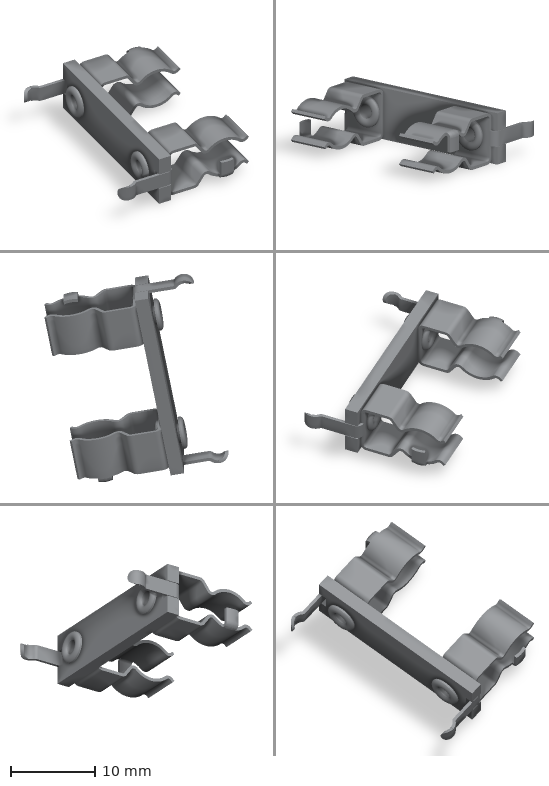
import cadquery as cq
import math


OVERALL_LENGTH = 24.5
HEIGHT = 6.35

PLATE_LENGTH = 23.48
PLATE_THICKNESS = 1.62
NOTCH_DEPTH = 1.08
TAIL_CLEARANCE = 0.07

SHEET = 0.4
CLIP_X = 8.3
CLIP_WIDTH = 5.15
BEND_RADIUS = 0.61

SHOULDER_LENGTH = 2.8
SLOPE_ANGLE = 54.0
SLOPE_LENGTH = 1.2
CRADLE_RADIUS = 3.11
CRADLE_HALF_ANGLE = 42.0
LIP_ANGLE = 40.0
LIP_LENGTH = 0.37

TAB_WIDTH = 1.7
TAB_REACH = 0.1
TAB_BEND_RADIUS = 0.7
TAB_END_GAP = 0.2

TAIL_WIDTH = 1.86
TAIL_STRAIGHT = 3.05
TAIL_KINK_RADIUS = 0.4
TAIL_BULGE_RADIUS = 1.15
TAIL_BULGE_RETURN = 80.0

RIVET_X = 7.95
RIVET_BORE_RADIUS = 0.88
RIVET_SHANK_RADIUS = 1.15
RIVET_HEAD_RADIUS = 1.94
RIVET_HEAD_HEIGHT = 0.56
RIVET_RIM_HEIGHT = 0.25
RIVET_HEAD_GAP = 0.32

PLATE_END_X = PLATE_LENGTH / 2
WEB_MID_Y = SHEET / 2


def bent_strip(plane, start, heading, moves, width):
    """Sheet strip of the given width, centred on the plane, following a bent middle line.

    Each move is ("line", length) or ("arc", radius, turn); a positive turn is anticlockwise.
    """
    def offset(point, angle, distance):
        """Point the given distance to the left of a heading."""
        turned = math.radians(angle + 90)
        return (point[0] + distance * math.cos(turned), point[1] + distance * math.sin(turned))

    point = start
    left, right = SHEET / 2, -SHEET / 2
    outline = cq.Workplane(plane).moveTo(*offset(point, heading, left))
    way_back = []
    for kind, size, *turn in moves:
        way_back.append((kind, offset(point, heading, right)))
        if kind == "line":
            point = offset(point, heading - 90, size)
            outline = outline.lineTo(*offset(point, heading, left))
        else:
            to_centre = math.copysign(size, turn[0])
            centre = offset(point, heading, to_centre)
            mid_heading = heading + turn[0] / 2
            heading += turn[0]
            middle = offset(centre, mid_heading, -to_centre)
            point = offset(centre, heading, -to_centre)
            outline = outline.threePointArc(
                offset(middle, mid_heading, left), offset(point, heading, left)
            )
            way_back[-1] += (offset(middle, mid_heading, right),)
    outline = outline.lineTo(*offset(point, heading, right))
    for kind, end, *middle in reversed(way_back):
        if kind == "line":
            outline = outline.lineTo(*end)
        else:
            outline = outline.threePointArc(middle[0], end)
    return outline.close().extrude(width / 2, both=True)


def make_plate():
    plate = cq.Workplane("XY").box(PLATE_LENGTH, PLATE_THICKNESS, HEIGHT)
    plate = plate.translate((0, -PLATE_THICKNESS / 2, 0))
    notch_width = TAIL_WIDTH + 2 * TAIL_CLEARANCE
    for side in (-1, 1):
        notch = cq.Workplane("XY").box(2 * NOTCH_DEPTH, 2 * PLATE_THICKNESS, notch_width)
        plate = plate.cut(notch.translate((side * PLATE_END_X, -PLATE_THICKNESS / 2, 0)))
        plate = plate.cut(shank_hole(side * RIVET_X))
    return plate


def shank_hole(x):
    """Cutter along Y that reaches through the plate and a clip's web."""
    depth = PLATE_THICKNESS + SHEET
    hole = cq.Workplane("XZ", origin=(x, SHEET, 0)).circle(RIVET_SHANK_RADIUS)
    return hole.extrude(depth)


ARM_TOP_Z = HEIGHT / 2 - SHEET / 2
ARM_MOVES = [
    ("line", ARM_TOP_Z - BEND_RADIUS),
    ("arc", BEND_RADIUS, -90),
    ("line", SHOULDER_LENGTH),
    ("arc", BEND_RADIUS, -SLOPE_ANGLE),
    ("line", SLOPE_LENGTH),
    ("arc", BEND_RADIUS, SLOPE_ANGLE + CRADLE_HALF_ANGLE),
    ("arc", CRADLE_RADIUS, -2 * CRADLE_HALF_ANGLE),
    ("arc", BEND_RADIUS, CRADLE_HALF_ANGLE + LIP_ANGLE),
    ("line", LIP_LENGTH),
]

SLOPE = math.radians(SLOPE_ANGLE)
CRADLE_HALF = math.radians(CRADLE_HALF_ANGLE)
CRADLE_Y = (
    WEB_MID_Y
    + BEND_RADIUS * (1 + 2 * math.sin(SLOPE))
    + SHOULDER_LENGTH
    + SLOPE_LENGTH * math.cos(SLOPE)
    + (BEND_RADIUS + CRADLE_RADIUS) * math.sin(CRADLE_HALF)
)
TROUGH_Z = ARM_TOP_Z - 2 * BEND_RADIUS * (1 - math.cos(SLOPE)) - SLOPE_LENGTH * math.sin(SLOPE)
CRADLE_TOP_Z = (
    TROUGH_Z + (BEND_RADIUS + CRADLE_RADIUS) * (1 - math.cos(CRADLE_HALF)) + SHEET / 2
)


def tab_section(plane):
    """Slice of the cradle's wall, with the top of its outer face at the plane's origin."""
    outer = CRADLE_RADIUS + SHEET / 2
    inner = CRADLE_RADIUS - SHEET / 2
    half = TAB_WIDTH / 2
    outer_edge = math.sqrt(outer**2 - half**2) - outer
    inner_edge = math.sqrt(inner**2 - half**2) - outer
    return (
        cq.Workplane(plane)
        .moveTo(-half, outer_edge)
        .threePointArc((0, 0), (half, outer_edge))
        .lineTo(half, inner_edge)
        .threePointArc((0, -SHEET), (-half, inner_edge))
        .close()
    )


def make_tab():
    """Stop tab at the -X edge of the upper cradle, bent down to hang along Z."""
    edge_x = -CLIP_X - CLIP_WIDTH / 2
    bend_x = edge_x - TAB_REACH
    bend_z = CRADLE_TOP_Z - TAB_BEND_RADIUS

    def section(x, z, normal):
        return tab_section(cq.Plane(origin=(x, CRADLE_Y, z), xDir=(0, 1, 0), normal=normal))

    reach = section(edge_x, CRADLE_TOP_Z, (1, 0, 0)).extrude(-TAB_REACH)
    bend = section(bend_x, CRADLE_TOP_Z, (1, 0, 0)).revolve(
        90, (0.25, -TAB_BEND_RADIUS), (-0.25, -TAB_BEND_RADIUS)
    )
    hang = section(bend_x - TAB_BEND_RADIUS, bend_z, (0, 0, 1)).extrude(TAB_END_GAP - bend_z)
    return reach.union(bend).union(hang)


TAIL_BENDS_RADIUS = TAIL_KINK_RADIUS + TAIL_BULGE_RADIUS
TAIL_KINK = math.acos(1 - (OVERALL_LENGTH / 2 - PLATE_END_X) / TAIL_BENDS_RADIUS)
TAIL_BULGE_Y = -PLATE_THICKNESS - TAIL_STRAIGHT - TAIL_BENDS_RADIUS * math.sin(TAIL_KINK)


def make_tail():
    """Tail from the web's middle: bent forward, bulged outward, its tip trimmed and rounded."""
    tail_mid = PLATE_END_X - SHEET / 2
    kink = math.degrees(TAIL_KINK)
    moves = [
        ("line", tail_mid - BEND_RADIUS - CLIP_X),
        ("arc", BEND_RADIUS, 90),
        ("line", WEB_MID_Y - BEND_RADIUS + PLATE_THICKNESS + TAIL_STRAIGHT),
        ("arc", TAIL_KINK_RADIUS, -kink),
        ("arc", TAIL_BULGE_RADIUS, kink + TAIL_BULGE_RETURN),
    ]
    tail = bent_strip("XY", (-CLIP_X, WEB_MID_Y), 180, moves, TAIL_WIDTH)
    return tail.cut(tail_tip_waste())


def tail_tip_waste():
    """Cutter for what lies past the rounded tip, which ends flush with the tail's inner face."""
    tip_x = SHEET - PLATE_END_X
    half = TAIL_WIDTH / 2
    reach = 2 * TAIL_BULGE_RADIUS
    return (
        cq.Workplane("XZ", origin=(tip_x, TAIL_BULGE_Y, 0))
        .moveTo(-half, half)
        .threePointArc((0, 0), (-half, -half))
        .lineTo(reach, -half)
        .lineTo(reach, half)
        .close()
        .extrude(reach)
    )


def make_clip():
    """Left-hand clip; its stop tab is on the upper arm."""
    start = (WEB_MID_Y, 0)
    upper_arm = bent_strip("YZ", start, 90, ARM_MOVES, CLIP_WIDTH).translate((-CLIP_X, 0, 0))
    clip = upper_arm.union(upper_arm.mirror("XY"))
    clip = clip.union(make_tab()).union(make_tail())
    return clip.cut(shank_hole(-RIVET_X))


def make_rivet():
    """Left-hand tubular rivet with a straight-rimmed, rounded head at each end."""
    back_y = SHEET
    front_y = -PLATE_THICKNESS - RIVET_HEAD_GAP
    crown_middle = (RIVET_HEAD_RADIUS + RIVET_BORE_RADIUS) / 2
    back_rim_y = back_y + RIVET_RIM_HEIGHT
    front_rim_y = front_y - RIVET_RIM_HEIGHT
    rivet = (
        cq.Workplane("XY")
        .moveTo(RIVET_BORE_RADIUS, back_rim_y)
        .threePointArc((crown_middle, back_y + RIVET_HEAD_HEIGHT), (RIVET_HEAD_RADIUS, back_rim_y))
        .lineTo(RIVET_HEAD_RADIUS, back_y)
        .lineTo(RIVET_SHANK_RADIUS, back_y)
        .lineTo(RIVET_SHANK_RADIUS, front_y)
        .lineTo(RIVET_HEAD_RADIUS, front_y)
        .lineTo(RIVET_HEAD_RADIUS, front_rim_y)
        .threePointArc((crown_middle, front_y - RIVET_HEAD_HEIGHT), (RIVET_BORE_RADIUS, front_rim_y))
        .close()
        .revolve(360, (0, 0), (0, 1))
    )
    return rivet.translate((-RIVET_X, 0, 0))


plate = make_plate()
clips = []
rivets = []
for half_turn in (0, 180):
    clips.append(make_clip().rotate((0, 0, 0), (0, 1, 0), half_turn).solids().val())
    rivets.append(make_rivet().rotate((0, 0, 0), (0, 1, 0), half_turn).solids().val())

result = cq.Compound.makeCompound([plate.val(), *clips, *rivets])